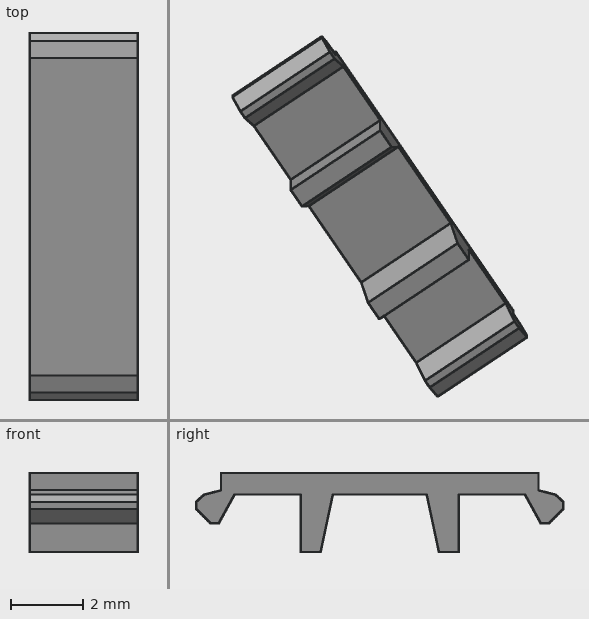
import cadquery as cq

width = 3.0
length = 10.2
height = 2.2

plate_length = 8.82
plate_thickness = 0.6

lip_root_depth = 0.48
lip_shoulder_depth = 0.6
lip_nose_top_depth = 0.8
lip_nose_bottom_depth = 1.0
lip_bottom_depth = 1.4
lip_shoulder_setback = 0.22
lip_bottom_width = 0.23
lip_inner_half_span = 4.03

leg_outer_half_span = 2.2
leg_root_width = 0.9
leg_tip_width = 0.56

top_z = height
plate_bottom_z = top_z - plate_thickness


def make_plate():
    """Flat plate with its top face at the top of the part."""
    plate = cq.Workplane("XY").box(width, plate_length, plate_thickness, centered=(True, True, False))
    return plate.translate((0, 0, plate_bottom_z))


def extrude_profile(points):
    """Extrude a closed YZ outline over the width, centred on X = 0."""
    return cq.Workplane("YZ").polyline(points).close().extrude(width / 2, both=True)


def make_lip():
    """Hooked snap lip on the +Y end, overlapping the plate for a full joint."""
    nose_y = length / 2
    plate_end_y = plate_length / 2
    lip_drop = lip_bottom_depth - lip_nose_bottom_depth
    bottom_outer_y = nose_y - lip_drop
    return extrude_profile([
        (lip_inner_half_span, top_z - lip_root_depth),
        (plate_end_y, top_z - lip_root_depth),
        (nose_y - lip_shoulder_setback, top_z - lip_shoulder_depth),
        (nose_y, top_z - lip_nose_top_depth),
        (nose_y, top_z - lip_nose_bottom_depth),
        (bottom_outer_y, top_z - lip_bottom_depth),
        (bottom_outer_y - lip_bottom_width, top_z - lip_bottom_depth),
        (lip_inner_half_span, plate_bottom_z),
    ])


def make_leg():
    """Tapered leg on the +Y side, standing under the plate."""
    return extrude_profile([
        (leg_outer_half_span, 0),
        (leg_outer_half_span, plate_bottom_z),
        (leg_outer_half_span - leg_root_width, plate_bottom_z),
        (leg_outer_half_span - leg_tip_width, 0),
    ])


result = make_plate()
for feature in (make_lip(), make_leg()):
    result = result.union(feature).union(feature.mirror("XZ"))
result = result.clean()